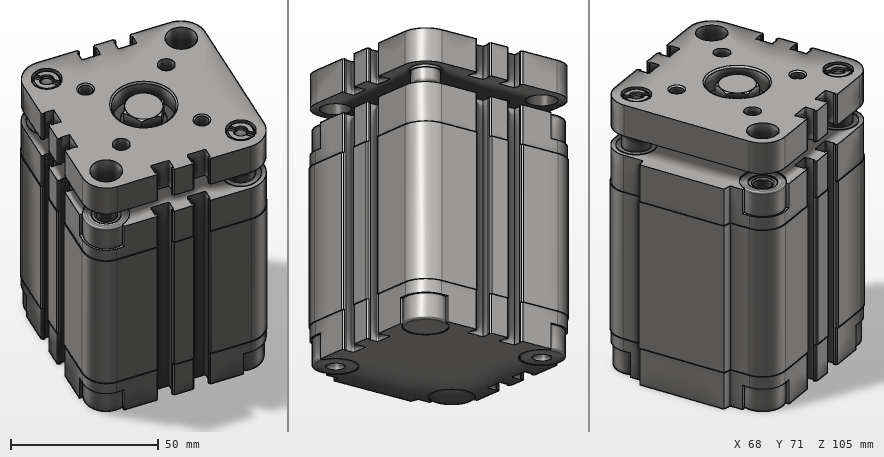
import cadquery as cq
import math

CAP_HEIGHT = 14.25
PROFILE_HEIGHT = 57.0
STROKE_GAP = 7.5
PLATE_THICKNESS = 12.0

HOUSING_HEIGHT = 2 * CAP_HEIGHT + PROFILE_HEIGHT
PLATE_BOTTOM = HOUSING_HEIGHT + STROKE_GAP
PLATE_TOP = PLATE_BOTTOM + PLATE_THICKNESS

PROFILE_WIDTH = 68.0
CAP_WIDTH = 67.4
CORNER_PITCH = 25.0
PLATE_CORNER_RADIUS = 9.0

RAIL_TOP_Y = 37.0
RAIL_BASE_WIDTH = 35.2
RAIL_TOP_WIDTH = 33.8

SLOT_OFFSET = 6.75
SLOT_NECK_WIDTH = 5.5
SLOT_LIP_RADIUS = 0.5
SLOT_LIP_Y = 32.5
FRONT_SLOT = {"width": 6.5, "floor": 29.1, "corner": 0.0}
SIDE_SLOT = {"width": 6.9, "floor": 28.8, "corner": 0.5}

COLLAR_DIA = 16.0
COLLAR_HEIGHT = 9.4
COLLAR_ROUNDING = 0.7
RELIEF_START = 22.2
THROUGH_DIA = 6.65
BORE_MOUTH_DIA = 7.8
COUNTERBORE_DIA = 10.2
COUNTERBORE_DEPTH = 0.8
COUNTERSINK_DIA = 13.0
COUNTERSINK_DEPTH = 0.4

PISTON_ROD_DIA = 16.0
ROD_FLATS = 13.0
ROD_FLAT_START = HOUSING_HEIGHT + 1.25
GUIDE_ROD_DIA = 10.2
GUIDE_FLANGE_DIA = 11.0
GUIDE_FLANGE_HEIGHT = 0.9
ROD_BOTTOM = CAP_HEIGHT
BUSH_DIA = 14.0
BUSH_RECESS = 0.2

ACCESS_HOLE_DIA = 11.0
HEAD_BORE_DIA = 22.0
HEAD_BORE_DEPTH = 7.5
HEAD_BORE_CHAMFER = 0.6
WASHER_HEIGHT = 0.5
HEX_FLATS = 13.0
HEX_CHAMFER_ANGLE = math.radians(30)
HEX_HALF_ANGLE = math.pi / 6
HEX_SETBACK = 0.7
HEX_TOP = PLATE_TOP - HEX_SETBACK
SMALL_PITCH = 15.0
DOWEL_DIA = 6.0
THREAD_DIA = 4.92
ROD_END_RECESS_DIA = 10.4
ROD_END_RECESS_DEPTH = 2.3
ROD_END_SETBACK = 0.4
ROD_END_DIA = 9.6
ROD_END_TOP_DIA = 8.57
ROD_END_CHAMFER = 0.6
ROD_END_SLOT_WIDTH = 2.0
ROD_END_SLOT_DEPTH = 1.1
ROD_END_BORE_DIA = 4.1
ROD_END_BORE_DEPTH = 1.3

ROD_CORNERS = [(-CORNER_PITCH, -CORNER_PITCH), (CORNER_PITCH, CORNER_PITCH)]
HOLE_CORNERS = [(-CORNER_PITCH, CORNER_PITCH), (CORNER_PITCH, -CORNER_PITCH)]


def cylinder(x, y, bottom, top, diameter):
    return cq.Workplane("XY", origin=(x, y, bottom)).circle(diameter / 2).extrude(top - bottom)


def cone(x, y, bottom, top, bottom_dia, top_dia):
    solid = cq.Solid.makeCone(bottom_dia / 2, top_dia / 2, top - bottom, cq.Vector(x, y, bottom))
    return cq.Workplane("XY").add(solid)


def rounded_block(width, bottom, top, corner_radius):
    block = cq.Workplane("XY", origin=(0, 0, bottom)).rect(width, width).extrude(top - bottom)
    return block.edges("|Z").fillet(corner_radius)


def t_slot(face, slot):
    """Full-height cutter for one T-slot on the -Y side, whose face lies at Y = -face."""
    half_neck = SLOT_NECK_WIDTH / 2
    half_mouth = half_neck + SLOT_LIP_RADIUS
    lip_start = face - SLOT_LIP_RADIUS
    neck = (
        cq.Workplane("XY")
        .moveTo(-half_mouth, -face)
        .radiusArc((-half_neck, -lip_start), SLOT_LIP_RADIUS)
        .lineTo(-half_neck, -slot["floor"])
        .lineTo(half_neck, -slot["floor"])
        .lineTo(half_neck, -lip_start)
        .radiusArc((half_mouth, -face), SLOT_LIP_RADIUS)
        .close()
        .extrude(PLATE_TOP)
    )
    depth = SLOT_LIP_Y - slot["floor"]
    head = cq.Workplane("XY").center(0, -slot["floor"] - depth / 2)
    head = head.rect(slot["width"], depth).extrude(PLATE_TOP)
    if slot["corner"]:
        head = head.edges("|Z and >Y").fillet(slot["corner"])
    return neck.union(head)


def cut_slots(body, face):
    for side_angle, slot in ((0, FRONT_SLOT), (90, SIDE_SLOT), (-90, SIDE_SLOT)):
        for offset in (-SLOT_OFFSET, SLOT_OFFSET):
            cutter = t_slot(face, slot).translate((offset, 0, 0))
            body = body.cut(cutter.rotate((0, 0, 0), (0, 0, 1), side_angle))
    return body


def rail(bottom, top, inset):
    """Trapezoidal rail on the +Y side; inset shrinks its outline on the caps."""
    half_base = RAIL_BASE_WIDTH / 2 - inset
    half_top = RAIL_TOP_WIDTH / 2 - inset
    base_y = PROFILE_WIDTH / 2 - inset
    outline = [
        (-half_base, CORNER_PITCH),
        (-half_base, base_y),
        (-half_top, RAIL_TOP_Y - inset),
        (half_top, RAIL_TOP_Y - inset),
        (half_base, base_y),
        (half_base, CORNER_PITCH),
    ]
    return cq.Workplane("XY", origin=(0, 0, bottom)).polyline(outline).close().extrude(top - bottom)


def barrel_and_caps():
    cap_radius = CAP_WIDTH / 2 - CORNER_PITCH
    profile_radius = PROFILE_WIDTH / 2 - CORNER_PITCH
    profile_top = CAP_HEIGHT + PROFILE_HEIGHT
    caps = rounded_block(CAP_WIDTH, 0, HOUSING_HEIGHT, cap_radius)
    caps = cut_slots(caps, CAP_WIDTH / 2)
    profile = rounded_block(PROFILE_WIDTH, CAP_HEIGHT, profile_top, profile_radius)
    profile = cut_slots(profile, PROFILE_WIDTH / 2)
    cap_step = (PROFILE_WIDTH - CAP_WIDTH) / 2
    cap_rail = rail(0, HOUSING_HEIGHT, cap_step)
    profile_rail = rail(CAP_HEIGHT, profile_top, 0)
    return caps.union(profile).union(cap_rail).union(profile_rail)


def collar(x, y, bottom, rounded_face):
    body = cylinder(x, y, bottom, bottom + COLLAR_HEIGHT, COLLAR_DIA)
    return body.faces(rounded_face).edges().fillet(COLLAR_ROUNDING)


def add_collar(housing, x, y, bottom, rounded_face):
    """Relieve one housing corner and leave a round collar standing in it."""
    side = PROFILE_WIDTH / 2
    middle = RELIEF_START + side / 2
    relief = (
        cq.Workplane("XY", origin=(math.copysign(middle, x), math.copysign(middle, y), bottom))
        .rect(side, side)
        .extrude(COLLAR_HEIGHT)
        .union(cylinder(x, y, bottom, bottom + COLLAR_HEIGHT, COLLAR_DIA))
    )
    return housing.cut(relief).union(collar(x, y, bottom, rounded_face))


def cut_fixing_hole(housing, x, y):
    seat = HOUSING_HEIGHT - COUNTERBORE_DEPTH
    mouth_depth = (BORE_MOUTH_DIA - THROUGH_DIA) / 2
    housing = housing.cut(cylinder(x, y, 0, HOUSING_HEIGHT, THROUGH_DIA))
    housing = housing.cut(cone(x, y, seat - mouth_depth, seat, THROUGH_DIA, BORE_MOUTH_DIA))
    housing = housing.cut(cylinder(x, y, seat, HOUSING_HEIGHT, COUNTERBORE_DIA))
    sink_bottom = HOUSING_HEIGHT - COUNTERSINK_DEPTH
    return housing.cut(cone(x, y, sink_bottom, HOUSING_HEIGHT, COUNTERBORE_DIA, COUNTERSINK_DIA))


def cut_guide_bore(housing, x, y):
    housing = housing.cut(cylinder(x, y, HOUSING_HEIGHT - BUSH_RECESS, HOUSING_HEIGHT, BUSH_DIA))
    return housing.cut(cylinder(x, y, ROD_BOTTOM, HOUSING_HEIGHT, GUIDE_ROD_DIA))


def build_housing():
    housing = barrel_and_caps()
    for x, y in ROD_CORNERS + HOLE_CORNERS:
        housing = add_collar(housing, x, y, 0, "<Z")
    for x, y in HOLE_CORNERS:
        housing = add_collar(housing, x, y, HOUSING_HEIGHT - COLLAR_HEIGHT, ">Z")
        housing = cut_fixing_hole(housing, x, y)
    for x, y in ROD_CORNERS:
        housing = cut_guide_bore(housing, x, y)
    return housing.cut(cylinder(0, 0, ROD_BOTTOM, HOUSING_HEIGHT, PISTON_ROD_DIA))


def build_plate():
    plate = rounded_block(CAP_WIDTH, PLATE_BOTTOM, PLATE_TOP, PLATE_CORNER_RADIUS)
    plate = cut_slots(plate, CAP_WIDTH / 2)
    for x, y in HOLE_CORNERS:
        plate = plate.cut(cylinder(x, y, PLATE_BOTTOM, PLATE_TOP, ACCESS_HOLE_DIA))
    chamfer = (DOWEL_DIA - THREAD_DIA) / 2
    for x in (-SMALL_PITCH, SMALL_PITCH):
        plate = plate.cut(cylinder(x, -x, PLATE_BOTTOM, PLATE_TOP, DOWEL_DIA))
        plate = plate.cut(cylinder(x, x, PLATE_BOTTOM, PLATE_TOP, THREAD_DIA))
        plate = plate.cut(cone(x, x, PLATE_TOP - chamfer, PLATE_TOP, THREAD_DIA, DOWEL_DIA))
    plate = plate.cut(cylinder(0, 0, PLATE_TOP - HEAD_BORE_DEPTH, PLATE_TOP, HEAD_BORE_DIA))
    rim_dia = HEAD_BORE_DIA + 2 * HEAD_BORE_CHAMFER
    return plate.cut(cone(0, 0, PLATE_TOP - HEAD_BORE_CHAMFER, PLATE_TOP, HEAD_BORE_DIA, rim_dia))


def piston_rod():
    top = PLATE_TOP - HEAD_BORE_DEPTH + WASHER_HEIGHT
    rod = cylinder(0, 0, ROD_BOTTOM, top, PISTON_ROD_DIA)
    flat_height = PLATE_BOTTOM - ROD_FLAT_START
    for sign in (-1, 1):
        flat = cq.Workplane("XY", origin=(0, sign * ROD_FLATS, ROD_FLAT_START))
        rod = rod.cut(flat.rect(PISTON_ROD_DIA, ROD_FLATS).extrude(flat_height))
    return rod


def hex_head():
    bottom = PLATE_TOP - HEAD_BORE_DEPTH
    across_corners = HEX_FLATS / math.cos(HEX_HALF_ANGLE)
    height = HEX_TOP - bottom
    head = cq.Workplane("XY", origin=(0, 0, bottom)).polygon(6, across_corners).extrude(height)
    head = head.rotate((0, 0, 0), (0, 0, 1), 90)
    cone_height = height
    cone_dia = HEX_FLATS + 2 * cone_height / math.tan(HEX_CHAMFER_ANGLE)
    return head.intersect(cone(0, 0, HEX_TOP - cone_height, HEX_TOP, cone_dia, HEX_FLATS))


def guide_rod_end(x, y):
    """Cutter that leaves the slotted, drilled rod end standing in a round recess of the plate."""
    end = PLATE_TOP - ROD_END_SETBACK
    shoulder = end - ROD_END_CHAMFER
    floor = PLATE_TOP - ROD_END_RECESS_DEPTH
    recess = cylinder(x, y, floor, PLATE_TOP, ROD_END_RECESS_DIA)
    stem = cylinder(x, y, floor, shoulder, ROD_END_DIA)
    tip = cone(x, y, shoulder, end, ROD_END_DIA, ROD_END_TOP_DIA)
    slot = (
        cq.Workplane("XY", origin=(x, y, end - ROD_END_SLOT_DEPTH))
        .transformed(rotate=(0, 0, 45))
        .rect(ROD_END_DIA, ROD_END_SLOT_WIDTH)
        .extrude(ROD_END_SLOT_DEPTH)
    )
    bore_floor = end - ROD_END_BORE_DEPTH
    bore_chamfer = (THREAD_DIA - ROD_END_BORE_DIA) / 2
    bore = cylinder(x, y, bore_floor + bore_chamfer, end, THREAD_DIA)
    bore_bottom = cone(x, y, bore_floor, bore_floor + bore_chamfer, ROD_END_BORE_DIA, THREAD_DIA)
    return recess.cut(stem).cut(tip).union(slot).union(bore).union(bore_bottom)


def build_plunger():
    plunger = build_plate().union(piston_rod()).union(hex_head())
    for x, y in ROD_CORNERS:
        plunger = plunger.union(cylinder(x, y, ROD_BOTTOM, PLATE_BOTTOM, GUIDE_ROD_DIA))
        flange_bottom = PLATE_BOTTOM - GUIDE_FLANGE_HEIGHT
        plunger = plunger.union(cylinder(x, y, flange_bottom, PLATE_BOTTOM, GUIDE_FLANGE_DIA))
        plunger = plunger.cut(guide_rod_end(x, y))
    return plunger


housing = build_housing()
plunger = build_plunger()

result = cq.Compound.makeCompound([housing.solids().val(), plunger.solids().val()])